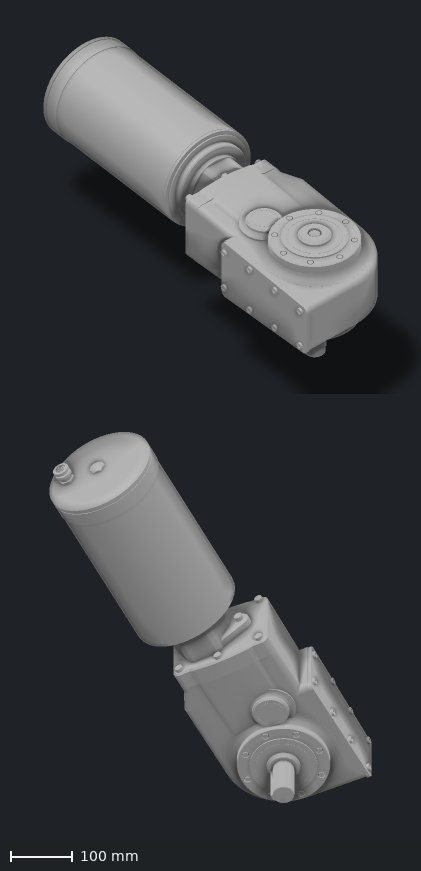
import math

import cadquery as cq


motor_y = 24.0
cap_radius = 91.0
motor_radius = 89.6
cap_face_x = -622.5
cap_face_radius = 75.0
cap_edge_x = cap_face_x + 2.0
cap_edge_radius = 84.5
cap_rim_x = cap_face_x + 7.0
cap_groove_x = cap_face_x + 13.5
cap_groove_width = 1.5
cap_end_x = -583.0
bell_x = -309.0
bell_radius = 88.9
motor_end_x = -304.0
motor_end_step = 2.5
motor_end_radius = 81.5
motor_flange_radius = 69.5
motor_flange_x = -290.0
motor_flange_chamfer = 2.0
collar_radius = 52.5
collar_x = -281.0

neck_across_flats = 92.5
neck_corner_radius = 51.0

plug_radius = 14.0
plug_height = 8.0
plug_dome_radius = 20.0
connector_y = 78.5
connector_tip_x = -649.4
connector_radius = 13.5
connector_neck_radius = 9.0
connector_head_length = 15.0
connector_nut_height = 5.0
connector_groove_width = 2.0
connector_socket_radius = 9.0
connector_socket_depth = 3.0
connector_pin_radius = 1.3
connector_pin_circle = 4.5
connector_pin_count = 4
connector_chamfer = 1.0

flange_x = -230.0
flange_end_x = -198.0
flange_half_width = 85.5
shoulder_z = 60.5
dome_z = 67.0
dome_half_width = 48.0
dome_ledge_z = 63.0
dome_root_half_width = 57.0
flange_corner = 12.0
flange_chamfer = 3.0
flange_bolt_radius = 6.5
flange_bolt_height = 6.0
flange_corner_bolt_y = 72.0
flange_corner_bolt_z = 50.5
flange_middle_bolt_y = 2.0
flange_middle_bolt_z = 57.0

lug_x = -246.0
lug_tip_y = -44.0
lug_tip_radius = 14.0
lug_root_y = -2.0
lug_root_half_height = 40.0
lug_chamfer = 3.0
lug_bolt_radius = 7.0
lug_bolt_height = 7.0

housing_radius = 102.0
housing_step_x = (-189.0, -154.0)
foot_y = -105.0
foot_left_x = -110.0
foot_right_x = 109.0
foot_thickness = 6.0
foot_overhang = 2.0
step_x = -112.5
housing_left_z = 59.5
housing_right_z = 46.4
housing_taper = (housing_left_z - housing_right_z) / (foot_right_x - flange_end_x)
foot_left_z = 56.0
foot_right_z = 47.0
foot_corner = 10.0
housing_round = 11.0
dome_sink = 0.5
dome_end_x = -70.0
dome_end_rise = 2.5
dome_end_ledge = 0.8
tolerance = 0.1

foot_screw_radius = 6.0
foot_screw_x = (-101.0, -35.5, 29.0, 94.0)
foot_screw_z = (35.5, 41.5, 38.5, 35.5)
foot_screw_height = 4.1
foot_socket_corners = 7.0
foot_socket_depth = 2.0

hub_radius = 75.5
hub_face_z = 77.5
hub_straight_z = 66.0
hub_flare_radius = 91.0
hub_flare_z = 51.3
flare_inset = 0.5
hub_chamfer = 1.5
cover_radius = 55.0
cover_face_z = 80.0
cover_ring_radius = 45.0
ring_width = 0.8
ring_depth = 0.5
hub_screw_count = 8
hub_screw_circle = 65.0
hub_counterbore_radius = 6.0
hub_screw_radius = 4.45
hub_counterbore_depth = 4.0

boss_x = -98.0
boss_y = -26.0
boss_radius = 30.0
boss_face_radius = 21.25
boss_z = 69.5
boss_edge = 3.0
boss_straight_z = 64.0
boss_flare_radius = 41.0
boss_flare_z = 58.5

sleeve_radius = 27.5
sleeve_top_z = 87.5
sleeve_chamfer = 4.0
shaft_radius = 17.5
shaft_end_z = -157.5
shaft_chamfer = 1.5
bore_radius = 11.6
bore_depth = 5.0
bore_screw_radius = 9.0
bore_screw_depth = 2.0
key_width = 10.0
key_height = 3.3
key_end_z = -153.5


def rod_x(x_start, x_end, radius, y=motor_y, z=0.0):
    """Cylinder along X."""
    return cq.Workplane("YZ", origin=(x_start, y, z)).circle(radius).extrude(x_end - x_start)


def rod_z(z_start, z_end, radius, x=0.0, y=0.0):
    """Cylinder along Z."""
    return cq.Workplane("XY", origin=(x, y, z_start)).circle(radius).extrude(z_end - z_start)


def hexagon_x(x_start, x_end, corner_diameter, y=motor_y):
    """Hexagonal bar along X with corners pointing to +Y and -Y."""
    return cq.Workplane("YZ", origin=(x_start, y, 0)).polygon(6, corner_diameter).extrude(x_end - x_start)


def mirrored(body):
    """The body together with its mirror image across the mid plane."""
    return body.union(body.mirror("XY"))


def make_motor():
    profile = (
        cq.Workplane("XY")
        .moveTo(cap_face_x, 0)
        .lineTo(cap_face_x, cap_face_radius)
        .threePointArc((cap_edge_x, cap_edge_radius), (cap_rim_x, cap_radius))
        .lineTo(cap_groove_x, cap_radius)
        .lineTo(cap_groove_x, motor_radius)
        .lineTo(cap_groove_x + cap_groove_width, motor_radius)
        .lineTo(cap_groove_x + cap_groove_width, cap_radius)
        .lineTo(cap_end_x, cap_radius)
        .lineTo(cap_end_x, motor_radius)
        .lineTo(bell_x, motor_radius)
        .lineTo(bell_x, bell_radius)
        .lineTo(motor_end_x, bell_radius)
        .lineTo(motor_end_x, motor_end_radius)
        .lineTo(motor_end_x + motor_end_step, motor_end_radius)
        .lineTo(motor_end_x + motor_end_step, motor_flange_radius)
        .lineTo(motor_flange_x - motor_flange_chamfer, motor_flange_radius)
        .lineTo(motor_flange_x, motor_flange_radius - motor_flange_chamfer)
        .lineTo(motor_flange_x, collar_radius)
        .lineTo(collar_x, collar_radius)
        .lineTo(collar_x, 0)
        .close()
    )
    return profile.revolve(360, (0, 0, 0), (1, 0, 0)).translate((0, motor_y, 0))


def make_neck():
    corner_diameter = neck_across_flats / math.cos(math.pi / 6)
    neck = hexagon_x(collar_x, flange_x, corner_diameter)
    return neck.intersect(rod_x(collar_x, flange_x, neck_corner_radius))


def make_plug():
    plug = hexagon_x(cap_face_x - plug_height, cap_face_x, 2 * plug_radius)
    dome_center_x = cap_face_x - plug_height + plug_dome_radius
    dome = cq.Workplane("XY").sphere(plug_dome_radius).translate((dome_center_x, motor_y, 0))
    return plug.intersect(dome)


def make_connector():
    head_end_x = connector_tip_x + connector_head_length
    nut_x = cap_face_x - connector_nut_height
    connector = rod_x(connector_tip_x, cap_face_x, connector_neck_radius, connector_y)
    collar_length = (connector_head_length - connector_groove_width) / 2
    for start_x in (connector_tip_x, head_end_x - collar_length):
        collar = rod_x(start_x, start_x + collar_length, connector_radius, connector_y)
        connector = connector.union(collar.edges().chamfer(connector_chamfer))
    connector = connector.union(hexagon_x(nut_x, cap_face_x, 2 * connector_radius, connector_y))
    socket_x = connector_tip_x + connector_socket_depth
    connector = connector.cut(rod_x(connector_tip_x, socket_x, connector_socket_radius, connector_y))
    for i in range(connector_pin_count):
        angle = 2 * math.pi * (i + 0.5) / connector_pin_count
        pin_y = connector_y + connector_pin_circle * math.cos(angle)
        pin_z = connector_pin_circle * math.sin(angle)
        pin = rod_x(connector_tip_x, socket_x, connector_pin_radius, pin_y, pin_z)
        connector = connector.union(pin)
    return connector


def housing_z(x):
    """Half height of the tapered housing at a place along X."""
    return housing_left_z - housing_taper * (x - flange_end_x)


def arched_section(base, root_z, ledge_z, crown_z):
    """Section across X: arched top and bottom with sloped shoulders."""
    return (
        base
        .moveTo(-dome_root_half_width, -root_z)
        .lineTo(-dome_half_width, -ledge_z)
        .threePointArc((0, -crown_z), (dome_half_width, -ledge_z))
        .lineTo(dome_root_half_width, -root_z)
        .lineTo(dome_root_half_width, root_z)
        .lineTo(dome_half_width, ledge_z)
        .threePointArc((0, crown_z), (-dome_half_width, ledge_z))
        .lineTo(-dome_root_half_width, root_z)
        .close()
    )


def make_input_flange():
    length = flange_end_x - flange_x
    flange = (
        cq.Workplane("YZ", origin=(flange_x, 0, 0))
        .rect(2 * flange_half_width, 2 * shoulder_z)
        .extrude(length)
        .edges("|X").fillet(flange_corner)
    )
    base = cq.Workplane("YZ", origin=(flange_x, 0, 0))
    flange = flange.union(arched_section(base, shoulder_z, dome_ledge_z, dome_z).extrude(length))
    flange = flange.faces("<X").edges().chamfer(flange_chamfer)
    bolt_places = [
        (-flange_corner_bolt_y, flange_corner_bolt_z),
        (flange_middle_bolt_y, flange_middle_bolt_z),
        (flange_corner_bolt_y, flange_corner_bolt_z),
    ]
    for y, z in bolt_places:
        bolt = rod_x(flange_x - flange_bolt_height, flange_x, flange_bolt_radius, y, z)
        flange = flange.union(mirrored(bolt))
    return flange


def make_lug():
    """Plate running from the neck to a round tip that carries one screw."""
    rise = math.atan2(lug_root_half_height - lug_tip_radius, lug_root_y - lug_tip_y)
    tangent_y = lug_tip_y - lug_tip_radius * math.sin(rise)
    tangent_z = lug_tip_radius * math.cos(rise)
    lug = (
        cq.Workplane("YZ", origin=(lug_x, 0, 0))
        .moveTo(motor_y, -lug_root_half_height)
        .lineTo(motor_y, lug_root_half_height)
        .lineTo(lug_root_y, lug_root_half_height)
        .lineTo(tangent_y, tangent_z)
        .threePointArc((lug_tip_y - lug_tip_radius, 0), (tangent_y, -tangent_z))
        .lineTo(lug_root_y, -lug_root_half_height)
        .close()
        .extrude(flange_x - lug_x)
        .faces("<X").edges().chamfer(lug_chamfer)
    )
    return lug.union(rod_x(lug_x - lug_bolt_height, lug_x, lug_bolt_radius, lug_tip_y))


def make_wedge():
    """Block across Y whose half height falls towards +X."""
    outline = [
        (flange_end_x, housing_left_z),
        (foot_right_x, housing_right_z),
    ]
    lower = [(x, -z) for x, z in reversed(outline)]
    return cq.Workplane("XZ").polyline(outline + lower).close().extrude(2 * housing_radius, both=True)


def is_rounded(edge):
    """True for the upper and lower outline edges, leaving the foot and the input end sharp."""
    box = edge.BoundingBox()
    on_side = box.zmin * box.zmax > 0
    on_foot = box.ymax < foot_y + foot_thickness + tolerance
    on_input_end = box.xmax < flange_end_x + tolerance
    return on_side and not (on_foot or on_input_end)


def make_housing():
    side_x = foot_right_x - foot_overhang
    bottom_y = foot_y + foot_thickness
    arc_middle = housing_radius / math.sqrt(2)
    plan = (
        cq.Workplane("XY", origin=(0, 0, -shoulder_z))
        .moveTo(flange_end_x, -flange_half_width)
        .lineTo(step_x, -flange_half_width)
        .lineTo(step_x, bottom_y)
        .lineTo(side_x, bottom_y)
        .lineTo(housing_radius, 0)
        .threePointArc((arc_middle, arc_middle), (0, housing_radius))
        .lineTo(housing_step_x[1], housing_radius)
        .lineTo(housing_step_x[0], flange_half_width)
        .lineTo(flange_end_x, flange_half_width)
        .close()
        .extrude(2 * shoulder_z)
    )
    housing = plan.intersect(make_wedge())
    rounded = [edge for edge in housing.edges().vals() if is_rounded(edge)]
    return housing.newObject(rounded).fillet(housing_round)


def make_dome():
    """Arched ridge that sinks into the tapered housing."""
    start = cq.Workplane("YZ", origin=(flange_end_x, 0, 0))
    start = arched_section(start, housing_left_z - dome_sink, dome_ledge_z, dome_z)
    end = start.workplane(offset=dome_end_x - flange_end_x)
    end_z = housing_z(dome_end_x)
    end = arched_section(end, end_z - dome_sink, end_z + dome_end_ledge, end_z + dome_end_rise)
    return end.loft(ruled=True)


def make_foot():
    plate = (
        cq.Workplane("XZ", origin=(0, foot_y + foot_thickness, 0))
        .polyline([
            (foot_left_x, -foot_left_z),
            (foot_right_x, -foot_right_z),
            (foot_right_x, foot_right_z),
            (foot_left_x, foot_left_z),
        ])
        .close()
        .extrude(foot_thickness)
        .edges("|Y").fillet(foot_corner)
    )
    places = []
    for x, z in zip(foot_screw_x, foot_screw_z):
        places += [(x, z), (x, -z)]
    screws = (
        cq.Workplane("XZ", origin=(0, foot_y, 0))
        .pushPoints(places)
        .circle(foot_screw_radius)
        .extrude(foot_screw_height)
    )
    sockets = (
        cq.Workplane("XZ", origin=(0, foot_y - foot_screw_height + foot_socket_depth, 0))
        .pushPoints(places)
        .polygon(6, foot_socket_corners)
        .extrude(foot_socket_depth)
    )
    return plate.union(screws).cut(sockets)


def round_boss(radius, face_z, face_chamfer):
    """Round boss about Z rising from the mid plane, with a chamfered face."""
    return rod_z(0, face_z, radius).faces(">Z").edges().chamfer(face_chamfer)


def root_flare(radius, top_z, flare_radius, flare_z):
    """Hollow blend from a boss to the housing, tilted to follow the housing taper."""
    diagonal = math.sqrt(0.5)
    middle = (
        flare_radius - diagonal * (flare_radius - radius),
        flare_z + (1 - diagonal) * (top_z - flare_z),
    )
    flare = (
        cq.Workplane("XZ")
        .lineTo(flare_radius, 0)
        .lineTo(flare_radius, flare_z)
        .threePointArc(middle, (radius, top_z))
        .lineTo(0, top_z)
        .close()
        .revolve(360, (0, 0, 0), (0, 1, 0))
    )
    tilt = math.degrees(math.atan(housing_taper))
    return flare.rotate((0, 0, flare_z), (0, 1, flare_z), tilt)


def marking_ring(face_z, radius):
    """Fine ring-shaped groove in a face, to be cut."""
    floor_z = face_z - ring_depth
    return rod_z(floor_z, face_z, radius + ring_width).cut(rod_z(floor_z, face_z, radius))


def make_hub():
    hub = round_boss(hub_radius, hub_face_z, hub_chamfer)
    hub = hub.union(root_flare(hub_radius - flare_inset, hub_straight_z, hub_flare_radius, hub_flare_z))
    hub = hub.union(rod_z(0, cover_face_z, cover_radius))
    return hub.cut(marking_ring(cover_face_z, cover_ring_radius))


def make_boss():
    boss = round_boss(boss_radius, boss_z, boss_edge)
    boss = boss.union(root_flare(boss_radius - flare_inset, boss_straight_z, boss_flare_radius, boss_flare_z))
    return boss.cut(marking_ring(boss_z, boss_face_radius)).translate((boss_x, boss_y, 0))


def make_hub_screw_recesses():
    """Ring-shaped gaps around the sunk screw heads of one hub."""
    floor_z = hub_face_z - hub_counterbore_depth
    recess = rod_z(floor_z, hub_face_z, hub_counterbore_radius, x=hub_screw_circle)
    recess = recess.cut(rod_z(floor_z, hub_face_z, hub_screw_radius, x=hub_screw_circle))
    recesses = cq.Workplane("XY")
    for i in range(hub_screw_count):
        recesses = recesses.add(recess.rotate((0, 0, 0), (0, 0, 1), 360 * i / hub_screw_count))
    return recesses.combine()


def make_output_shaft():
    sleeve = rod_z(-sleeve_top_z, sleeve_top_z, sleeve_radius).edges().chamfer(sleeve_chamfer)
    sleeve = sleeve.cut(rod_z(sleeve_top_z - bore_depth, sleeve_top_z, bore_radius))
    screw_z = sleeve_top_z - bore_screw_depth
    sleeve = sleeve.union(rod_z(0, screw_z, bore_screw_radius))
    shaft = rod_z(shaft_end_z, 0, shaft_radius).faces("<Z").edges().chamfer(shaft_chamfer)
    key_top_y = shaft_radius + key_height
    key = cq.Workplane("XY").box(key_width, key_top_y, -key_end_z, centered=(True, False, False))
    return sleeve.union(shaft).union(key.translate((0, 0, key_end_z)))


def make_gearbox():
    gearbox = make_housing().union(make_input_flange()).union(make_dome()).union(make_foot())
    gearbox = gearbox.union(mirrored(make_hub())).union(mirrored(make_boss()))
    recesses = make_hub_screw_recesses()
    return gearbox.cut(recesses).cut(recesses.mirror("XY"))


result = make_gearbox().union(make_output_shaft()).union(make_lug()).union(make_neck())
result = result.union(make_motor()).union(make_plug()).union(make_connector())